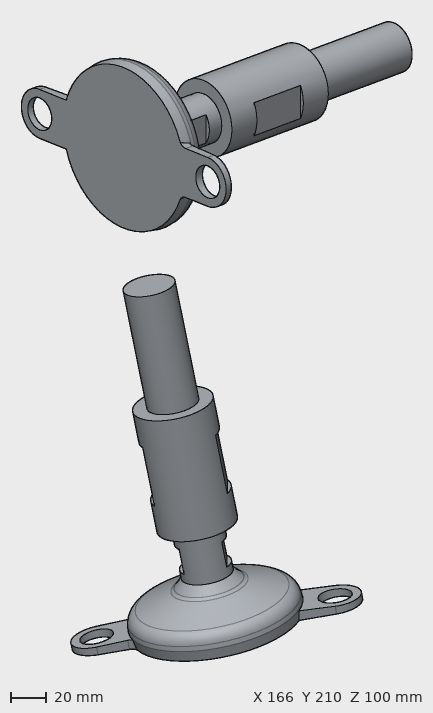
import cadquery as cq
import math

total_length = 210.0
total_width = 166.0

stem_radius = 15.0
stem_flat_offset = 12.2
stem_flat_start = 36.8
stem_flat_end = 52.3

sleeve_radius = 23.0
sleeve_start = 62.0
sleeve_length = 75.0
sleeve_flat_offset = 20.8
sleeve_flat_length = 36.1

foot_radius = 50.0
foot_base_radius = 49.0
rim_bottom = 6.5
rim_top = 9.5
rim_top_radius = 49.5
shoulder_radius = 43.9
shoulder_height = 16.4
blend_outer_radius = 22.0
blend_bottom = 24.4
blend_inner_radius = 20.0
blend_top = 25.8
foot_height = 31.3

ear_radius = 15.0
ear_hole_radius = 9.7
ear_root_thickness = 5.9
ear_tip_thickness = 4.2
ear_fillet = 5.0
ear_center = total_width / 2 - ear_radius


def cylinder(radius, start, end):
    """Cylinder along +Y between two positions on the axis."""
    return cq.Workplane("XZ", origin=(0, start, 0)).circle(radius).extrude(start - end)


def cut_flats(body, body_radius, offset, start, end):
    """Cut two opposite wrench flats, facing -X and +X."""
    depth = body_radius - offset
    for side in (-1, 1):
        cutter = cq.Workplane("XY").box(depth, end - start, 2 * body_radius)
        middle = (side * (offset + depth / 2), (start + end) / 2, 0)
        body = body.cut(cutter.translate(middle))
    return body


def make_foot_disc():
    """Turned foot with a tapered base, rounded rim and two-step conical top."""
    return (
        cq.Workplane("XY")
        .moveTo(0, foot_height)
        .lineTo(stem_radius, foot_height)
        .lineTo(blend_inner_radius, blend_top)
        .tangentArcPoint((blend_outer_radius, blend_bottom), relative=False)
        .lineTo(shoulder_radius, shoulder_height)
        .tangentArcPoint((rim_top_radius, rim_top), relative=False)
        .lineTo(foot_radius, rim_bottom)
        .lineTo(foot_base_radius, 0)
        .lineTo(0, 0)
        .close()
        .revolve(360, (0, 0, 0), (0, 1, 0))
    )


def make_ear_taper():
    """Wedge that sets the ear thickness, from inside the foot out to the tip."""
    root = foot_base_radius - ear_radius
    tip = total_width / 2
    foot_edge = math.sqrt(foot_base_radius**2 - ear_radius**2)
    return (
        cq.Workplane("XY")
        .polyline([
            (root, 0),
            (tip, 0),
            (tip, ear_tip_thickness),
            (foot_edge, ear_root_thickness),
            (root, ear_root_thickness),
        ])
        .close()
        .extrude(ear_radius + ear_fillet, both=True)
    )


def make_ear():
    """Mounting ear on the +X side, thinning outward, without its hole."""
    root = foot_base_radius - ear_radius
    tip = total_width / 2
    outline = (
        cq.Workplane("XZ")
        .moveTo(root, -ear_radius)
        .lineTo(ear_center, -ear_radius)
        .threePointArc((tip, 0), (ear_center, ear_radius))
        .lineTo(root, ear_radius)
        .close()
        .extrude(-ear_root_thickness)
    )
    return outline.intersect(make_ear_taper())


def make_ear_fillets():
    """Fillers rounding the two corners between the +X ear and the foot."""
    center_z = ear_radius + ear_fillet
    center_x = math.sqrt((foot_base_radius + ear_fillet) ** 2 - center_z**2)
    touch = foot_base_radius / (foot_base_radius + ear_fillet)
    touch_x = center_x * touch
    touch_z = center_z * touch
    corner_x = math.sqrt(foot_base_radius**2 - ear_radius**2)
    reach = math.hypot(corner_x - center_x, ear_fillet)
    middle_x = center_x + (corner_x - center_x) * ear_fillet / reach
    middle_z = center_z - ear_fillet**2 / reach
    inner_x = foot_base_radius - ear_radius
    filler = (
        cq.Workplane("XZ")
        .moveTo(inner_x, 0)
        .lineTo(center_x, 0)
        .lineTo(center_x, ear_radius)
        .threePointArc((middle_x, middle_z), (touch_x, touch_z))
        .lineTo(inner_x, ear_radius)
        .close()
        .extrude(-ear_root_thickness)
        .intersect(make_ear_taper())
    )
    return filler.union(filler.mirror("XY"))


def make_foot():
    """Foot disc, two ears and the long stem, all in one piece."""
    ear = make_ear()
    foot = make_foot_disc().union(ear).union(ear.mirror("YZ")).union(make_ear_fillets())
    for side in (-1, 1):
        hole = cylinder(ear_hole_radius, 0, ear_root_thickness)
        foot = foot.cut(hole.translate((side * ear_center, 0, 0)))
    stem = cylinder(stem_radius, foot_height, total_length)
    stem = cut_flats(stem, stem_radius, stem_flat_offset, stem_flat_start, stem_flat_end)
    return foot.union(stem)


def make_sleeve():
    """Sleeve that fits around the stem, with two flats at mid-length."""
    sleeve_end = sleeve_start + sleeve_length
    middle = (sleeve_start + sleeve_end) / 2
    half_flat = sleeve_flat_length / 2
    sleeve = cylinder(sleeve_radius, sleeve_start, sleeve_end)
    sleeve = cut_flats(
        sleeve, sleeve_radius, sleeve_flat_offset, middle - half_flat, middle + half_flat
    )
    return sleeve.cut(cylinder(stem_radius, sleeve_start, sleeve_end))


foot = make_foot()
sleeve = make_sleeve()
result = cq.Compound.makeCompound([foot.solids().val(), sleeve.solids().val()])